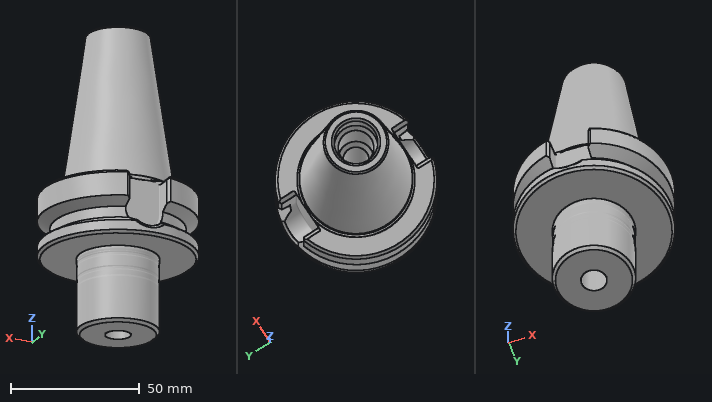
import cadquery as cq
import math

total_height = 123.4
flange_bottom = 31.2
flange_top = 57.3

nose_radius = 32.5 / 2
nose_groove_radius = 32.0 / 2
nose_chamfer = 1.2
relief_radius = 32.2 / 2
relief_bottom = 18.6
relief_top = 30.1
relief_slope = 0.7
groove_floor_width = 0.9
groove_slope = 0.5
groove_bottoms = (21.3, 27.3)

flange_radius = 63.0 / 2
flange_chamfer = 1.1
gripper_radius = 53.1 / 2
gripper_floor_bottom = 39.2
gripper_floor_top = 43.7
gripper_side_angle = 30.0

neck_radius = 43.8 / 2
recess_radius = 45.9 / 2
recess_depth = 0.43
taper_bottom = 58.6
taper_base_radius = 44.3 / 2
taper_per_height = 7 / 24 / 2
tip_chamfer = 0.7

mouth_radius = 19.0 / 2
socket_radius = 17.0 / 2
thread_radius = 13.8 / 2
coolant_radius = 10.1 / 2
socket_depth = 8.6
thread_depth = 29.6

slot_width = 15.8
slot_floor = 22.6
slot_bottom = 35.3
slot_bevel = 1.6
mouth_chamfer = 1.2
slot_floor_fillet = 0.5
cutter_overrun = 1.2


def revolve_profile(points):
    """Turn (radius, height) points around the Z axis."""
    return cq.Workplane("XZ").polyline(points).close().revolve(360, (0, 0, 0), (0, 1, 0))


def make_body():
    gripper_slope = (flange_radius - gripper_radius) * math.tan(math.radians(gripper_side_angle))
    tip_radius = taper_base_radius - (total_height - taper_bottom) * taper_per_height
    points = [
        (0, 0),
        (nose_radius - nose_chamfer, 0),
        (nose_radius, nose_chamfer),
        (nose_radius, relief_bottom),
        (relief_radius, relief_bottom + relief_slope),
    ]
    for bottom in groove_bottoms:
        points += [
            (relief_radius, bottom),
            (nose_groove_radius, bottom + groove_slope),
            (nose_groove_radius, bottom + groove_slope + groove_floor_width),
            (relief_radius, bottom + 2 * groove_slope + groove_floor_width),
        ]
    points += [
        (relief_radius, relief_top - relief_slope),
        (nose_radius, relief_top),
        (nose_radius, flange_bottom),
        (flange_radius - flange_chamfer, flange_bottom),
        (flange_radius, flange_bottom + flange_chamfer),
        (flange_radius, gripper_floor_bottom - gripper_slope),
        (gripper_radius, gripper_floor_bottom),
        (gripper_radius, gripper_floor_top),
        (flange_radius, gripper_floor_top + gripper_slope),
        (flange_radius, flange_top - flange_chamfer),
        (flange_radius - flange_chamfer, flange_top),
        (recess_radius, flange_top),
        (recess_radius, flange_top - recess_depth),
        (neck_radius, flange_top - recess_depth),
        (neck_radius, taper_bottom),
        (taper_base_radius, taper_bottom),
        (tip_radius, total_height - tip_chamfer),
        (tip_radius - tip_chamfer, total_height),
        (0, total_height),
    ]
    return revolve_profile(points)


def make_bore():
    mouth_bottom = total_height - (mouth_radius - socket_radius)
    socket_bottom = total_height - socket_depth
    thread_bottom = total_height - thread_depth
    return revolve_profile([
        (0, 0),
        (coolant_radius, 0),
        (coolant_radius, thread_bottom - (thread_radius - coolant_radius)),
        (thread_radius, thread_bottom),
        (thread_radius, socket_bottom - (socket_radius - thread_radius)),
        (socket_radius, socket_bottom),
        (socket_radius, mouth_bottom),
        (mouth_radius, total_height),
        (0, total_height),
    ])


def make_slot():
    """Round-ended drive slot on the -Y side, with beveled top edges and a filleted floor."""
    radius = slot_width / 2
    center = slot_bottom + radius
    cutter_top = flange_top + cutter_overrun
    bevel_bottom = flange_top - slot_bevel
    bevel_reach = radius + slot_bevel + cutter_overrun
    return (
        cq.Workplane("XZ", origin=(0, -slot_floor, 0))
        .moveTo(-radius, bevel_bottom)
        .lineTo(-radius, center)
        .threePointArc((0, slot_bottom), (radius, center))
        .lineTo(radius, bevel_bottom)
        .lineTo(bevel_reach, cutter_top)
        .lineTo(-bevel_reach, cutter_top)
        .close()
        .extrude(flange_radius)
        .faces(">Y")
        .edges()
        .fillet(slot_floor_fillet)
    )


def chamfer_slot_mouths(part):
    """Break the slot edges that lie on the outer cylinder of the flange."""
    half = slot_width / 2
    wall_end = math.sqrt(flange_radius ** 2 - half ** 2)
    wall_middle = (gripper_floor_top + flange_top) / 2
    for side in (-1, 1):
        for x in (-half, half):
            part = part.edges(cq.selectors.NearestToPointSelector((x, side * wall_end, wall_middle)))
            part = part.chamfer(mouth_chamfer)
        part = part.edges(cq.selectors.NearestToPointSelector((0, side * flange_radius, slot_bottom)))
        part = part.chamfer(mouth_chamfer)
    return part


slot = make_slot()
opposite_slot = slot.rotate((0, 0, 0), (0, 0, 1), 180)
body = make_body().cut(make_bore()).cut(slot).cut(opposite_slot)
result = chamfer_slot_mouths(body)